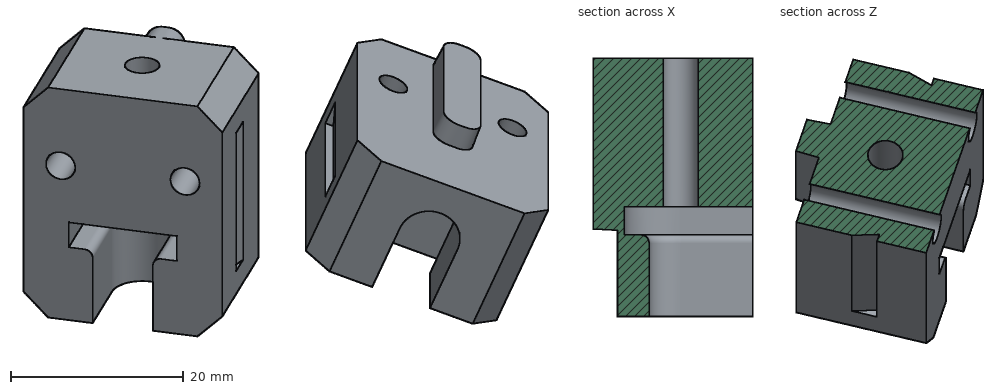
import cadquery as cq
import math

width = 24.0
depth = 15.75
height = 30.0
corner_chamfer = 3.0

pin_hole_diameter = 3.5
pin_hole_spacing = 15.0
pin_hole_height = 20.0

slot_axis_y = 8.4
vertical_hole_diameter = 4.02
neck_width = 7.25
head_width = 13.02
head_bottom = 9.5
head_top = 12.75
neck_round = 1.0

recess_front = 6.0
recess_length = 3.0
recess_depth = 1.0
recess_margin = 6.0

key_length = 2.82
key_width = 4.98
key_bottom = 10.0
key_corner_radius = 2.0
key_draft_angle = 3.0


def make_block():
    block = cq.Workplane("XY").box(width, depth, height, centered=(True, False, False))
    return block.edges("|Y").chamfer(corner_chamfer)


def make_pin_holes():
    """Two bores through the whole depth, level with each other."""
    return (
        cq.Workplane("XZ", origin=(0, 0, pin_hole_height))
        .pushPoints([(-pin_hole_spacing / 2, 0), (pin_hole_spacing / 2, 0)])
        .circle(pin_hole_diameter / 2)
        .extrude(-depth)
    )


def slot_half_section():
    """Right half of the T, with convex rounds where the neck opens into the head."""
    neck = neck_width / 2
    head = head_width / 2
    arc_offset = neck_round * (1 - math.sqrt(0.5))
    return (
        cq.Workplane("XZ")
        .lineTo(neck, 0)
        .lineTo(neck, head_bottom - neck_round)
        .threePointArc(
            (neck + arc_offset, head_bottom - arc_offset),
            (neck + neck_round, head_bottom),
        )
        .lineTo(head, head_bottom)
        .lineTo(head, head_top)
        .lineTo(0, head_top)
        .close()
    )


def make_t_slot():
    """Run the section straight in from the front, then around the slot axis."""
    half_channel = slot_half_section().extrude(-slot_axis_y)
    round_end = slot_half_section().revolve(360, (0, 0), (0, 1)).translate((0, slot_axis_y, 0))
    return half_channel.union(half_channel.mirror("YZ")).union(round_end)


def make_vertical_hole():
    """Bore from the top face down into the T-slot."""
    return (
        cq.Workplane("XY", origin=(0, slot_axis_y, head_bottom))
        .circle(vertical_hole_diameter / 2)
        .extrude(height - head_bottom)
    )


def make_catch_recesses():
    """Wedge pockets, deepest at the front and running out flush towards the back."""
    side = -width / 2
    recess = (
        cq.Workplane("XY", origin=(0, 0, recess_margin))
        .moveTo(side, recess_front)
        .lineTo(side + recess_depth, recess_front)
        .lineTo(side, recess_front + recess_length)
        .close()
        .extrude(height - 2 * recess_margin)
    )
    return recess.union(recess.mirror("YZ"))


def make_key():
    """Rounded key whose sides and bottom draw in towards the tip; its top stays level."""
    tip_inset = key_length * math.tan(math.radians(key_draft_angle))
    key_height = height - key_bottom
    root_centre = (0, depth, key_bottom + key_height / 2)
    key = (
        cq.Workplane("XZ", origin=root_centre)
        .rect(key_width, key_height)
        .workplane(offset=-key_length)
        .center(0, tip_inset / 2)
        .rect(key_width - 2 * tip_inset, key_height - tip_inset)
        .loft(ruled=True)
    )
    long_edges = key.edges("not(<Y or >Y)")
    return long_edges.fillet(key_corner_radius)


result = (
    make_block()
    .cut(make_pin_holes())
    .cut(make_t_slot())
    .cut(make_vertical_hole())
    .cut(make_catch_recesses())
    .union(make_key())
)